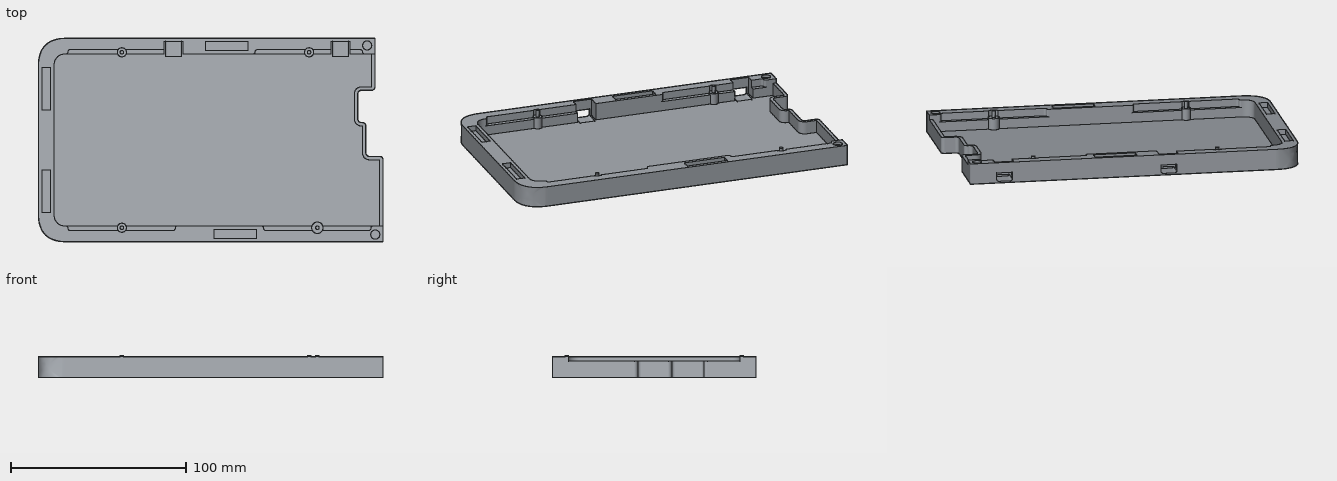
import cadquery as cq
LENGTH = 196.49
WIDTH = 116.0
RIM_HEIGHT = 12.0
PIN_TOP = 12.6
FLOOR = 2.0
CORNER_REACH = 15.0
CORNER_FULLNESS = 0.63

RIM_WIDTH = 9.0
END_WALL = 2.0
END_WALL_HEIGHT = 9.4
CAVITY_BACK = WIDTH - RIM_WIDTH

BACK_END_X = 191.9
NOTCH_X = 182.1
STEP_X = 186.7
NOTCH_BACK_Y = 86.3
NOTCH_FRONT_Y = 68.0
STEP_Y = 48.7
STEP_RADIUS = 2.0
END_CORNER_RADIUS = 0.5

LEDGE_HEIGHT = 7.6
LEDGE_DEPTH = 2.6
LEDGE_LENGTH = 61.3
LEDGE_INNER_RADIUS = 1.5
LEDGE_MOUTH_RADIUS = LEDGE_DEPTH - LEDGE_INNER_RADIUS
BACK_LEDGE_STARTS = (16.8, 123.5)
FRONT_LEDGE_STARTS = (16.8, 128.3)

PIN_DIAMETER = 2.0
BOSS_DIAMETER = 5.2
LARGE_BOSS_DIAMETER = 6.5
BOSS_HEIGHT = 8.6
PIN_INSET = 8.0
LEFT_PIN_X = 47.6
BACK_PIN_X = 154.3
FRONT_PIN_X = 159.0

POCKET_LENGTH = 24.2
POCKET_WIDTH = 5.0
POCKET_DEPTH = 3.0
POCKET_INSET = 4.5
BACK_POCKET_X = 107.3
FRONT_POCKET_X = 112.2
LEFT_POCKET_OFFSET = 29.2

ROUND_HOLE_DIAMETER = 5.2
ROUND_HOLE_DEPTH = 1.6
ROUND_HOLE_INSET_X = 4.5
ROUND_HOLE_INSET_Y = 4.1

BAY_CENTRES = (77.0, 172.2)
BAY_WIDTH = 11.0
BAY_BACK_WALL = 1.8
PORT_WIDTH = 9.2
PORT_HEIGHT = 5.0
PORT_RADIUS = 1.35
PORT_BOTTOM = 1.0
PORT_START_Y = 105.6


def plate(outline, bottom, top):
    """Extrude a closed 2D outline between two heights."""
    return outline.extrude(top - bottom).translate((0, 0, bottom))


def box(x_range, y_range, z_range):
    """Box spanning the given ranges."""
    size = [high - low for low, high in (x_range, y_range, z_range)]
    corner = (x_range[0], y_range[0], z_range[0])
    return cq.Workplane("XY").box(*size, centered=False).translate(corner)


def cylinder(x, y, diameter, bottom, top):
    """Upright cylinder between two heights."""
    return plate(cq.Workplane("XY").center(x, y).circle(diameter / 2), bottom, top)


def fillet_uprights(solid, points, radius):
    """Round the upright edges that pass nearest the given plan points."""
    for x, y in points:
        edge = cq.selectors.NearestToPointSelector((x, y, RIM_HEIGHT / 2))
        solid = solid.edges("|Z").edges(edge).fillet(radius)
    return solid


def make_body():
    """Full-height block with the rounded left corners and the stepped right end."""
    step_corners = [
        (LENGTH, STEP_Y),
        (STEP_X, STEP_Y),
        (STEP_X, NOTCH_FRONT_Y),
        (NOTCH_X, NOTCH_FRONT_Y),
        (NOTCH_X, NOTCH_BACK_Y),
        (BACK_END_X, NOTCH_BACK_Y),
    ]
    front_end = (LENGTH, 0)
    back_end = (BACK_END_X, WIDTH)
    handle = CORNER_REACH * (1 - CORNER_FULLNESS)
    back_curve = [(handle, WIDTH), (0, WIDTH - handle), (0, WIDTH - CORNER_REACH)]
    front_curve = [(0, handle), (handle, 0), (CORNER_REACH, 0)]
    body = (
        cq.Workplane("XY")
        .moveTo(CORNER_REACH, 0)
        .polyline([front_end, *step_corners, back_end, (CORNER_REACH, WIDTH)], includeCurrent=True)
        .bezier(back_curve, includeCurrent=True)
        .lineTo(0, CORNER_REACH)
        .bezier(front_curve, includeCurrent=True)
        .close()
        .extrude(RIM_HEIGHT)
    )
    body = fillet_uprights(body, step_corners, STEP_RADIUS)
    return fillet_uprights(body, [front_end, back_end], END_CORNER_RADIUS)


def make_cavity():
    """Open interior; its right end runs parallel to the stepped end."""
    concave = [
        (STEP_X - END_WALL, STEP_Y - END_WALL),
        (NOTCH_X - END_WALL, NOTCH_FRONT_Y - END_WALL),
        (NOTCH_X - END_WALL, NOTCH_BACK_Y + END_WALL),
    ]
    left_corners = [(RIM_WIDTH, CAVITY_BACK), (RIM_WIDTH, RIM_WIDTH)]
    outline = [
        (LENGTH - END_WALL, RIM_WIDTH),
        (LENGTH - END_WALL, STEP_Y - END_WALL),
        concave[0],
        (STEP_X - END_WALL, NOTCH_FRONT_Y - END_WALL),
        concave[1],
        concave[2],
        (BACK_END_X - END_WALL, NOTCH_BACK_Y + END_WALL),
        (BACK_END_X - END_WALL, CAVITY_BACK),
    ]
    cavity = cq.Workplane("XY").polyline(outline + left_corners).close().extrude(RIM_HEIGHT)
    cavity = fillet_uprights(cavity, left_corners, CORNER_REACH - RIM_WIDTH)
    cavity = fillet_uprights(cavity, concave, STEP_RADIUS + END_WALL)
    return cavity.translate((0, 0, FLOOR))


def lower_end_wall(tray):
    """Cut the thin end wall down below the rim, between the two long rims."""
    return tray.cut(
        box((NOTCH_X - 2 * END_WALL, LENGTH), (RIM_WIDTH, CAVITY_BACK), (END_WALL_HEIGHT, RIM_HEIGHT))
    )


def make_ledge_cutter(start):
    """Cutter for one ledge of the front rim, with rounded inner ends and a flared mouth."""
    end = start + LEDGE_LENGTH
    inner_y = RIM_WIDTH - LEDGE_DEPTH
    middle_y = inner_y + LEDGE_INNER_RADIUS
    outline = (
        cq.Workplane("XY")
        .moveTo(start + LEDGE_INNER_RADIUS, inner_y)
        .lineTo(end - LEDGE_INNER_RADIUS, inner_y)
        .radiusArc((end, middle_y), -LEDGE_INNER_RADIUS)
        .radiusArc((end + LEDGE_MOUTH_RADIUS, RIM_WIDTH), LEDGE_MOUTH_RADIUS)
        .lineTo(start - LEDGE_MOUTH_RADIUS, RIM_WIDTH)
        .radiusArc((start, middle_y), LEDGE_MOUTH_RADIUS)
        .radiusArc((start + LEDGE_INNER_RADIUS, inner_y), -LEDGE_INNER_RADIUS)
        .close()
    )
    return plate(outline, LEDGE_HEIGHT, RIM_HEIGHT)


def cut_ledges(tray):
    """Let the ledges into the inner edges of the front and back rims."""
    middle = (0, WIDTH / 2, 0)
    for start in FRONT_LEDGE_STARTS:
        tray = tray.cut(make_ledge_cutter(start))
    for start in BACK_LEDGE_STARTS:
        tray = tray.cut(make_ledge_cutter(start).mirror("XZ", middle))
    return tray


def add_pins(tray):
    """Add the bosses, each clear of the rim above its top and carrying a pin."""
    pins = (
        (LEFT_PIN_X, PIN_INSET, BOSS_DIAMETER),
        (FRONT_PIN_X, PIN_INSET, LARGE_BOSS_DIAMETER),
        (LEFT_PIN_X, WIDTH - PIN_INSET, BOSS_DIAMETER),
        (BACK_PIN_X, WIDTH - PIN_INSET, BOSS_DIAMETER),
    )
    for x, y, boss_diameter in pins:
        tray = tray.cut(cylinder(x, y, boss_diameter, BOSS_HEIGHT, RIM_HEIGHT))
        tray = tray.union(cylinder(x, y, boss_diameter, 0, BOSS_HEIGHT))
        tray = tray.union(cylinder(x, y, PIN_DIAMETER, 0, PIN_TOP))
    return tray


def cut_pockets(tray):
    """Sink the rectangular pockets into the rim top."""
    along_x = (POCKET_LENGTH, POCKET_WIDTH)
    along_y = (POCKET_WIDTH, POCKET_LENGTH)
    pockets = (
        (BACK_POCKET_X, WIDTH - POCKET_INSET, along_x),
        (FRONT_POCKET_X, POCKET_INSET, along_x),
        (POCKET_INSET, WIDTH / 2 + LEFT_POCKET_OFFSET, along_y),
        (POCKET_INSET, WIDTH / 2 - LEFT_POCKET_OFFSET, along_y),
    )
    for x, y, size in pockets:
        outline = cq.Workplane("XY").center(x, y).rect(*size)
        tray = tray.cut(plate(outline, RIM_HEIGHT - POCKET_DEPTH, RIM_HEIGHT))
    return tray


def cut_round_holes(tray):
    """Sink a round blind hole into the right end of each long rim."""
    places = (
        (LENGTH - ROUND_HOLE_INSET_X, ROUND_HOLE_INSET_Y),
        (BACK_END_X - ROUND_HOLE_INSET_X, WIDTH - ROUND_HOLE_INSET_Y),
    )
    for x, y in places:
        bottom = RIM_HEIGHT - ROUND_HOLE_DEPTH
        tray = tray.cut(cylinder(x, y, ROUND_HOLE_DIAMETER, bottom, RIM_HEIGHT))
    return tray


def cut_connector_bays(tray):
    """Open the back rim for each connector and pierce the outer wall with its port."""
    for x in BAY_CENTRES:
        bay = box(
            (x - BAY_WIDTH / 2, x + BAY_WIDTH / 2),
            (CAVITY_BACK, WIDTH - BAY_BACK_WALL),
            (FLOOR, RIM_HEIGHT),
        )
        port = box(
            (x - PORT_WIDTH / 2, x + PORT_WIDTH / 2),
            (PORT_START_Y, WIDTH),
            (PORT_BOTTOM, PORT_BOTTOM + PORT_HEIGHT),
        )
        port = port.faces("<Z").edges("|Y").fillet(PORT_RADIUS)
        tray = tray.cut(bay).cut(port)
    return tray


tray = make_body().cut(make_cavity())
tray = lower_end_wall(tray)
tray = cut_ledges(tray)
tray = cut_pockets(tray)
tray = cut_round_holes(tray)
tray = cut_connector_bays(tray)
result = add_pins(tray)